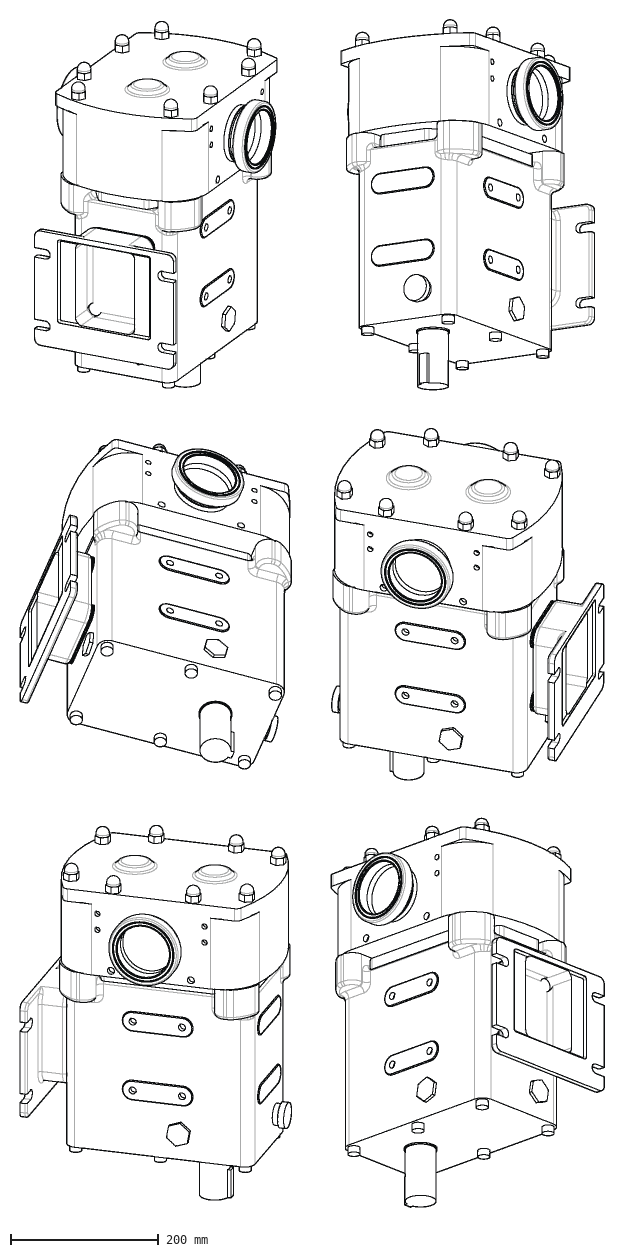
import cadquery as cq
import math


shaft_spacing = 113.5
shaft_y = shaft_spacing / 2

gearbox_bottom = 77.0
gearbox_top = 323.0
deck_top = 339.5
head_bottom = 344.0
cover_bottom = 447.0
cover_top = 465.0
total_height = 487.0

head_width = 214.0
head_half_x = head_width / 2
head_half_y = 150.0
end_arc_radius = 231.5
housing_corner_radius = 58.5
cover_corner_radius = 9.0

end_nut_x = 70.0
end_nut_y = 124.5
side_nut_x = 96.0
nut_across_corners = 21.5
nut_hex_height = 9.5
nut_dome_radius = 9.3

cap_base_radius = 30.5
cap_foot_middle = (28.2, 0.6)
cap_cone_bottom = (27.0, 2.0)
cap_cone_top = (22.5, 6.5)
cap_shoulder_middle = (20.5, 7.5)
cap_top_radius = 18.5
cap_height = 8.0

port_z = 401.0
port_span = 284.0
port_reach = port_span / 2
port_bore_radius = 37.0
port_bore_depth = 26.0
rim_step_radius = 38.5
rim_step_depth = 1.5
seal_groove_radius = 43.0
seal_groove_width = 1.5
seal_groove_depth = 1.0
flange_radius = 49.0
flange_width = 17.0
flange_edge = 2.0
collar_radius = 39.0
collar_width = 7.5
neck_radius = 37.5

tapped_hole_y = 76.0
tapped_hole_heights = (434.0, 410.5)
tapped_hole_radius = 3.65
drain_hole_z = 353.0
drain_hole_radius = 5.0
side_hole_depth = 7.5

gearbox_width = 153.5
gearbox_half_x = gearbox_width / 2
gearbox_half_y = 133.5
gearbox_corner_radius = 15.5
gearbox_top_fillet = 3.0
deck_inset = 3.15
deck_cut_x = 36.0
deck_cut_y = 79.5
deck_corner_fillet = 7.5

post_outer_x = 103.5
post_inner_x = 51.5
post_outer_y = 140.5
post_inner_y = 84.5
post_bottom = 299.0
post_outer_radius = 61.5
post_arc_center = (48.0, 84.5)
post_side_radius = 17.5
post_bottom_fillet = 5.0
post_root_fillet = 8.0

wall_turns = [
    (0, gearbox_half_x),
    (90, gearbox_half_y),
    (180, gearbox_half_x),
    (270, gearbox_half_y),
]

pad_heights = (271.0, 170.5)
pad_length = 100.5
pad_width = 28.5
pad_thickness = 1.7
pad_edge = 1.2
pad_hole_y = 35.0
pad_hole_radius = 5.0
pad_hole_depth = 7.5

plug_z = 115.0
plug_offset = 30.0
plug_across_corners = 34.5
plug_height = 5.0
plug_turn = 20.0
glass_neck_radius = 15.0
glass_neck_length = 8.5
glass_radius = 18.0
glass_reach = 150.5

bolt_x = 64.5
bolt_y = 120.5
bolt_head_radius = 8.5
bolt_head_height = 9.3

shaft_radius = 21.0
shaft_collar_radius = 22.5
shaft_collar_height = 2.0
upper_shaft_radius = 25.0
key_reach = 25.0
key_length = 41.0
key_width = 11.5

foot_face_y = -186.5
foot_plate_thickness = 10.0
foot_back_y = -137.0
foot_width = 211.0
foot_half_x = foot_width / 2
foot_bottom = 121.5
foot_top = 288.0
foot_corner_radius = 9.3
plate_back_fillet = 3.0
slot_heights = (255.0, 151.0)
slot_width = 13.5
slot_end_x = 82.0
box_half_x = 52.5
box_bottom = 153.0
box_corner_radius = 18.5
box_back_fillet = 6.0
box_root_fillet = 4.5
recess_half_x = 70.5
recess_bottom = 159.0
recess_top = 280.0
recess_depth = 3.5
recess_edge_fillet = 4.5
recess_floor_chamfer = 3.0
pocket_bottom = 160.0
pocket_top = 279.0
pocket_half_x = 45.0
pocket_floor_y = -142.5
pocket_corner_radius = 9.3
pocket_floor_fillet = 6.0

pick_margin = 0.5


def box(x0, x1, y0, y1, z0, z1):
    return cq.Workplane("XY").box(x1 - x0, y1 - y0, z1 - z0, centered=False).translate((x0, y0, z0))


def bar(direction, position, radius, length):
    """Round bar starting at a position and growing along a direction."""
    plane = cq.Plane(origin=position, normal=direction)
    return cq.Workplane(plane).circle(radius).extrude(length)


def in_four_quadrants(shape):
    """The shape and its mirror images about the two centre planes."""
    half = shape.union(shape.mirror("YZ"))
    return half.union(half.mirror("XZ"))


def head_plate(bottom, top, corner_radius):
    """Plate with straight sides and bulging ends."""
    rise = end_arc_radius - math.sqrt(end_arc_radius**2 - head_half_x**2)
    corner_y = head_half_y - rise
    return (
        cq.Workplane("XY", origin=(0, 0, bottom))
        .moveTo(head_half_x, -corner_y)
        .lineTo(head_half_x, corner_y)
        .threePointArc((0, head_half_y), (-head_half_x, corner_y))
        .lineTo(-head_half_x, -corner_y)
        .threePointArc((0, -head_half_y), (head_half_x, -corner_y))
        .close()
        .extrude(top - bottom)
        .edges("|Z")
        .fillet(corner_radius)
    )


def bearing_cap(y):
    """Low cone with a rounded foot and a rounded top edge."""
    return (
        cq.Workplane("XZ")
        .lineTo(cap_base_radius, 0)
        .threePointArc(cap_foot_middle, cap_cone_bottom)
        .lineTo(*cap_cone_top)
        .threePointArc(cap_shoulder_middle, (cap_top_radius, cap_height))
        .lineTo(0, cap_height)
        .close()
        .revolve(360, (0, 0, 0), (0, 1, 0))
        .translate((0, y, cover_top))
    )


def acorn_nut(x, y):
    dome_z = total_height - nut_dome_radius
    base = cq.Workplane("XY", origin=(x, y, cover_top))
    hexagon = base.polygon(6, nut_across_corners).extrude(nut_hex_height)
    neck = base.circle(nut_dome_radius).extrude(dome_z - cover_top)
    dome = cq.Workplane("XY").sphere(nut_dome_radius).translate((x, y, dome_z))
    return hexagon.union(neck).union(dome)


def port():
    """Flanged port on the -X side, without its bore."""
    flange_inner = port_reach - flange_width
    center = (-head_half_x, 0, port_z)
    body = bar((-1, 0, 0), center, neck_radius, port_reach - head_half_x)
    body = body.union(bar((-1, 0, 0), center, collar_radius, collar_width))
    flange = bar((-1, 0, 0), (-flange_inner, 0, port_z), flange_radius, flange_width)
    return body.union(flange.edges().fillet(flange_edge))


def port_bore():
    """Blind bore with a shallow step at its mouth and a seal groove in the flange face."""
    face = (-port_reach, 0, port_z)
    bore = bar((1, 0, 0), face, port_bore_radius, port_bore_depth)
    bore = bore.union(bar((1, 0, 0), face, rim_step_radius, rim_step_depth))
    groove = bar((1, 0, 0), face, seal_groove_radius + seal_groove_width / 2, seal_groove_depth)
    groove = groove.cut(bar((1, 0, 0), face, seal_groove_radius - seal_groove_width / 2, seal_groove_depth))
    return bore.union(groove)


def head_side_holes():
    """Blind holes in the -X face."""
    holes = cq.Workplane("XY")
    for y in (-tapped_hole_y, tapped_hole_y):
        for z in tapped_hole_heights:
            holes = holes.union(bar((1, 0, 0), (-head_half_x, y, z), tapped_hole_radius, side_hole_depth))
    for y in (-shaft_y, shaft_y):
        holes = holes.union(bar((1, 0, 0), (-head_half_x, y, drain_hole_z), drain_hole_radius, side_hole_depth))
    return holes


def make_pump_head():
    head = head_plate(head_bottom, cover_bottom, housing_corner_radius)
    head = head.union(head_plate(cover_bottom, cover_top, cover_corner_radius))
    for y in (-shaft_y, shaft_y):
        head = head.union(bearing_cap(y))
    for x, y in ((end_nut_x, end_nut_y), (side_nut_x, shaft_y)):
        head = head.union(in_four_quadrants(acorn_nut(x, y)))
    head = head.union(port()).union(port().mirror("YZ"))
    cuts = port_bore().union(head_side_holes())
    return head.cut(cuts).cut(cuts.mirror("YZ"))


def gearbox_block():
    return (
        cq.Workplane("XY", origin=(0, 0, gearbox_bottom))
        .rect(2 * gearbox_half_x, 2 * gearbox_half_y)
        .extrude(gearbox_top - gearbox_bottom)
        .edges("|Z")
        .fillet(gearbox_corner_radius)
        .faces(">Z")
        .edges()
        .fillet(gearbox_top_fillet)
    )


def gearbox_deck():
    """Low octagonal step on top of the block, cut back at the corner posts."""
    half_x = gearbox_half_x - deck_inset
    half_y = gearbox_half_y - deck_inset
    quarter = [(half_x, deck_cut_y), (deck_cut_x, half_y)]
    outline = quarter + [(-x, y) for x, y in reversed(quarter)]
    outline += [(-x, -y) for x, y in outline]
    return (
        cq.Workplane("XY", origin=(0, 0, gearbox_top))
        .polyline(outline)
        .close()
        .extrude(deck_top - gearbox_top)
        .edges("|Z")
        .fillet(deck_corner_fillet)
    )


def corner_post():
    """Post in the +X +Y corner, its outer side following the housing's round corner."""
    post = box(post_inner_x, post_outer_x, post_inner_y, post_outer_y, post_bottom, head_bottom)
    outer_arc = bar((0, 0, 1), (*post_arc_center, post_bottom), post_outer_radius, head_bottom - post_bottom)
    post = post.intersect(outer_arc).edges("|Z").fillet(post_side_radius)
    return post.faces("<Z").edges().fillet(post_bottom_fillet)


def add_root_fillets(gearbox):
    """Concave fillets where the four posts run into the block walls."""
    low = (post_inner_x, post_inner_y - pick_margin, post_bottom - pick_margin)
    top = gearbox_top - gearbox_top_fillet - pick_margin
    high = (gearbox_half_x + pick_margin, gearbox_half_y + pick_margin, top)
    for x_side in (-1, 1):
        for y_side in (-1, 1):
            corner_a = (x_side * low[0], y_side * low[1], low[2])
            corner_b = (x_side * high[0], y_side * high[1], high[2])
            roots = cq.selectors.BoxSelector(corner_a, corner_b)
            gearbox = gearbox.edges(roots).fillet(post_root_fillet)
    return gearbox


def slot_pad(wall_distance, thickness):
    """Pad with bevelled edges on a wall facing -X at the given distance, centred on Z = 0."""
    pad = (
        cq.Workplane(cq.Plane(origin=(-wall_distance, 0, 0), xDir=(0, 1, 0), normal=(-1, 0, 0)))
        .slot2D(pad_length, pad_width)
        .extrude(thickness)
    )
    return pad.faces("<X").edges().chamfer(pad_edge)


def slot_pads():
    """Two pads on each of the four walls."""
    pads = cq.Workplane("XY")
    for turn, wall_distance in wall_turns:
        pad = slot_pad(wall_distance, pad_thickness).rotate((0, 0, 0), (0, 0, 1), turn)
        for z in pad_heights:
            pads = pads.union(pad.translate((0, 0, z)))
    return pads


def slot_pad_holes():
    """Blind holes, two through each pad of the -X and +X walls."""
    holes = cq.Workplane("XY")
    face_x = gearbox_half_x + pad_thickness
    for side in (-1, 1):
        for y in (-pad_hole_y, pad_hole_y):
            for z in pad_heights:
                hole = bar((-side, 0, 0), (side * face_x, y, z), pad_hole_radius, pad_hole_depth)
                holes = holes.union(hole)
    return holes


def hexagon_plug(wall_distance):
    """Plug head on a wall facing -X at the given distance."""
    center = (-wall_distance, -plug_offset, plug_z)
    axis_end = (-wall_distance - 5, -plug_offset, plug_z)
    plane = cq.Plane(origin=center, xDir=(0, -1, 0), normal=(-1, 0, 0))
    plug = cq.Workplane(plane).polygon(6, plug_across_corners).extrude(plug_height)
    return plug.rotate(center, axis_end, plug_turn)


def sight_glass():
    """Stepped round glass on the +Y wall."""
    rim_y = gearbox_half_y + glass_neck_length
    neck = bar((0, 1, 0), (-plug_offset, gearbox_half_y, plug_z), glass_neck_radius, glass_neck_length)
    return neck.union(bar((0, 1, 0), (-plug_offset, rim_y, plug_z), glass_radius, glass_reach - rim_y))


def bolt_heads():
    heads = cq.Workplane("XY")
    for x in (-bolt_x, bolt_x):
        for y in (-bolt_y, 0, bolt_y):
            heads = heads.union(bar((0, 0, -1), (x, y, gearbox_bottom), bolt_head_radius, bolt_head_height))
    return heads


def drive_shaft():
    """Keyed shaft below the block, its collar, and the short upper end that meets the head."""
    shaft = bar((0, 0, 1), (0, shaft_y, 0), shaft_radius, gearbox_bottom)
    collar = bar((0, 0, -1), (0, shaft_y, gearbox_bottom), shaft_collar_radius, shaft_collar_height)
    upper = bar((0, 0, 1), (0, shaft_y, deck_top), upper_shaft_radius, head_bottom - deck_top)
    key = box(-key_width / 2, key_width / 2, shaft_y, shaft_y + key_reach, 0, key_length)
    return shaft.union(collar).union(key).union(upper)


def make_gearbox():
    gearbox = gearbox_block().union(in_four_quadrants(corner_post()))
    gearbox = add_root_fillets(gearbox)
    gearbox = gearbox.union(gearbox_deck())
    gearbox = gearbox.union(slot_pads()).cut(slot_pad_holes())
    for turn, wall_distance in wall_turns[:3]:
        gearbox = gearbox.union(hexagon_plug(wall_distance).rotate((0, 0, 0), (0, 0, 1), turn))
    return gearbox.union(sight_glass()).union(bolt_heads()).union(drive_shaft())


def foot_plate():
    back_y = foot_face_y + foot_plate_thickness
    plate = box(-foot_half_x, foot_half_x, foot_face_y, back_y, foot_bottom, foot_top)
    plate = plate.edges("|Y").fillet(foot_corner_radius)
    return plate.faces(">Y").edges().fillet(plate_back_fillet)


def foot_box():
    """Round-cornered box between the plate's face and the gearbox."""
    block = box(-box_half_x, box_half_x, foot_face_y, foot_back_y, box_bottom, foot_top)
    block = block.edges("|Y").fillet(box_corner_radius)
    return block.faces(">Y").edges().fillet(box_back_fillet)


def add_box_root_fillet(foot):
    """Concave fillet where the sides and the underside of the box meet the plate."""
    back_y = foot_face_y + foot_plate_thickness
    low = (-box_half_x - pick_margin, back_y - pick_margin, box_bottom - pick_margin)
    high = (box_half_x + pick_margin, back_y + pick_margin, foot_top - plate_back_fillet - pick_margin)
    return foot.edges(cq.selectors.BoxSelector(low, high)).fillet(box_root_fillet)


def foot_slots():
    """Open-ended bolt slots in both side edges of the plate."""
    slots = cq.Workplane("XY")
    length = 2 * (foot_half_x - slot_end_x)
    for x in (-foot_half_x, foot_half_x):
        for z in slot_heights:
            slot = cq.Workplane("XZ", origin=(x, foot_face_y, z)).slot2D(length, slot_width)
            slots = slots.union(slot.extrude(-foot_plate_thickness))
    return slots


def foot_recess():
    """Shallow recess in the plate's face with a bevelled floor edge."""
    floor_y = foot_face_y + recess_depth
    recess = box(-recess_half_x, recess_half_x, foot_face_y, floor_y, recess_bottom, recess_top)
    return recess.edges("|Y").fillet(recess_edge_fillet).faces(">Y").edges().chamfer(recess_floor_chamfer)


def foot_pocket():
    """Deep pocket with round corners and a floor fillet that stops short of the corners."""
    opening = box(-pocket_half_x, pocket_half_x, foot_face_y, pocket_floor_y, pocket_bottom, pocket_top)
    floor_fillet = opening.cut(opening.faces(">Y").edges().fillet(pocket_floor_fillet))
    corner_x = pocket_half_x - pocket_corner_radius
    for x in (-corner_x, corner_x):
        for z in (pocket_bottom + pocket_corner_radius, pocket_top - pocket_corner_radius):
            corner = bar((0, 1, 0), (x, foot_face_y, z), pocket_corner_radius, pocket_floor_y - foot_face_y)
            floor_fillet = floor_fillet.cut(corner)
    return opening.edges("|Y").fillet(pocket_corner_radius).cut(floor_fillet)


def foot_pads():
    """Pads that rest on the pads of the gearbox's -Y wall."""
    pads = cq.Workplane("XY")
    gap = -foot_back_y - gearbox_half_y - pad_thickness
    pad = slot_pad(-foot_back_y, gap).mirror("YZ", (foot_back_y, 0, 0)).rotate((0, 0, 0), (0, 0, 1), 90)
    for z in pad_heights:
        pads = pads.union(pad.translate((0, 0, z)))
    return pads


def make_foot():
    foot = add_box_root_fillet(foot_plate().union(foot_box()))
    foot = foot.cut(foot_slots()).cut(foot_recess()).cut(foot_pocket())
    return foot.union(foot_pads())


pump_head = make_pump_head()
gearbox = make_gearbox()
foot = make_foot()
result = cq.Compound.makeCompound([pump_head.val(), gearbox.val(), foot.val()])